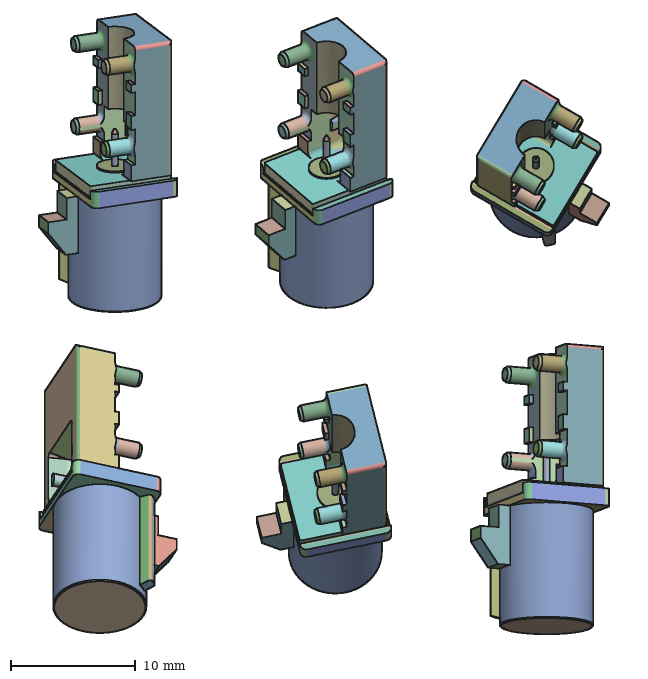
import cadquery as cq
import math


BARREL_RADIUS = 3.75
BARREL_HEIGHT = 9.4
BARREL_CHAMFER = 0.1

RIB_ANGLE = 225
RIB_TIP_RADIUS = 4.7
RIB_HALF_WIDTH = 0.46
RIB_FILLET = 0.22
RIB_TIP_BOTTOM = 1.1
RIB_ROOT_RADIUS = 3.0
RIB_BOTTOM_SLOPE = 16

LATCH_WIDTH = 1.9
LATCH_NECK_Y = -4.65
LATCH_TIP_Y = -6.25
LATCH_TOE_Y = -4.72
LATCH_STEP_Z = 7.56
LATCH_TIP_Z = 6.57
LATCH_BOTTOM = 4.56

FLANGE_WIDTH = 8.5
FLANGE_DEPTH = 2 * BARREL_RADIUS
FLANGE_HEIGHT = 1.4
FLANGE_TOP = BARREL_HEIGHT + FLANGE_HEIGHT
FLANGE_CORNER_RADIUS = 0.5
CHANNEL_WIDTH = 7.1
CHANNEL_FLOOR = 10.0
CHANNEL_RIM_FILLET = 0.25

PLATE_WIDTH = 7.0
PLATE_FRONT = -3.7
PLATE_TOP = 11.08
PLATE_CORNER_FILLET = 0.17
PLATE_BOTTOM_FILLET = 0.2
PLATE_LEDGE_DEPTH = 0.18

TOTAL_HEIGHT = 22.45
BLOCK_WIDTH = 7.5
BLOCK_FRONT = 0.1
BLOCK_BACK = 3.4
BLOCK_FILLET = 0.3
BORE_RADIUS = 1.56

PAD_FRONT = -0.24
PAD_WIDTH = 1.0
UPPER_PAD_RANGE = (18.6, 19.3)
LOWER_PAD_RANGE = (15.45, 16.65)
FOOT_TOP = TOTAL_HEIGHT - 10.0

WINDOW_WIDTH = 4.66
WINDOW_TOP = TOTAL_HEIGHT - 7.0
WINDOW_FILLET = 0.43
FLARE_START = 1.94
FLARE_ANGLE = 12

NUB_REACH = 0.29
NUB_BOTTOM = 12.7
NUB_TOP = 13.72
NUB_BACK = 3.15
NUB_FILLET = 0.28
NUB_ROOT = 0.5

PEG_RADIUS = 0.67
PEG_X = 2.98
PEG_SPACING_Z = 7.0
PEG_TOP_Z = TOTAL_HEIGHT - 1.62
PEG_TIP_Y = -2.3
PEG_TIP_INSET = 0.14
PEG_TIP_LENGTH = 0.25
PEG_BASE_FILLET = 0.33
PEG_EMBED = 0.5

DISC_RADIUS = 1.45
DISC_TOP = 11.2
CONTACT_RADIUS = 0.26
CONTACT_TOP = 14.3
CONTACT_TIP_LENGTH = 0.38
CONTACT_TIP_RADIUS = 0.07


def box(x_range, y_range, z_range):
    """Box spanning the given coordinate ranges."""
    size = [high - low for low, high in (x_range, y_range, z_range)]
    corner = (x_range[0], y_range[0], z_range[0])
    return cq.Workplane("XY").box(*size, centered=False).translate(corner)


def centred_box(width, y_range, z_range):
    """Box of the given width, symmetric about the YZ plane."""
    return box((-width / 2, width / 2), y_range, z_range)


def both_sides(shape):
    """The shape together with its mirror image across the YZ plane."""
    return shape.union(shape.mirror("YZ"))


def make_barrel():
    barrel = cq.Workplane("XY").circle(BARREL_RADIUS).extrude(BARREL_HEIGHT)
    return barrel.faces("<Z").edges().chamfer(BARREL_CHAMFER)


def make_rib():
    """Rib built along +X, its underside falling towards the barrel, then turned into place."""
    root_drop = (RIB_TIP_RADIUS - RIB_ROOT_RADIUS) * math.tan(math.radians(RIB_BOTTOM_SLOPE))
    rib = (
        cq.Workplane("XZ")
        .polyline([
            (RIB_ROOT_RADIUS, RIB_TIP_BOTTOM - root_drop),
            (RIB_TIP_RADIUS, RIB_TIP_BOTTOM),
            (RIB_TIP_RADIUS, BARREL_HEIGHT),
            (RIB_ROOT_RADIUS, BARREL_HEIGHT),
        ])
        .close()
        .extrude(RIB_HALF_WIDTH, both=True)
    )
    rib = rib.faces(">X").edges("|Z").fillet(RIB_FILLET)
    return rib.rotate((0, 0, 0), (0, 0, 1), RIB_ANGLE)


def make_latch():
    return (
        cq.Workplane("YZ")
        .polyline([
            (0, BARREL_HEIGHT),
            (LATCH_NECK_Y, BARREL_HEIGHT),
            (LATCH_NECK_Y, LATCH_STEP_Z),
            (LATCH_TIP_Y, LATCH_STEP_Z),
            (LATCH_TIP_Y, LATCH_TIP_Z),
            (LATCH_TOE_Y, LATCH_BOTTOM),
            (0, LATCH_BOTTOM),
        ])
        .close()
        .extrude(LATCH_WIDTH / 2, both=True)
    )


def make_flange():
    half_depth = FLANGE_DEPTH / 2
    depth_range = (-half_depth, half_depth)
    flange = centred_box(FLANGE_WIDTH, depth_range, (BARREL_HEIGHT, FLANGE_TOP))
    flange = flange.edges("|Z").fillet(FLANGE_CORNER_RADIUS)
    flange = flange.cut(centred_box(CHANNEL_WIDTH, depth_range, (CHANNEL_FLOOR, FLANGE_TOP)))
    for channel_edge in (-CHANNEL_WIDTH / 2, CHANNEL_WIDTH / 2):
        rim_edge = cq.selectors.NearestToPointSelector((channel_edge, 0, FLANGE_TOP))
        flange = flange.edges(rim_edge).fillet(CHANNEL_RIM_FILLET)
    return flange


def make_plate():
    plate = centred_box(PLATE_WIDTH, (PLATE_FRONT, BLOCK_BACK), (CHANNEL_FLOOR, PLATE_TOP))
    plate = plate.faces("<Y").edges("|Z").fillet(PLATE_CORNER_FILLET)
    plate = plate.faces("<Y").edges("<Z").fillet(PLATE_BOTTOM_FILLET)
    ledge = centred_box(
        PLATE_WIDTH,
        (BLOCK_BACK - PLATE_LEDGE_DEPTH, BLOCK_BACK + PLATE_LEDGE_DEPTH),
        (CHANNEL_FLOOR, FLANGE_TOP),
    )
    ledge = ledge.faces(">Y").edges(">Z").chamfer(PLATE_LEDGE_DEPTH)
    return plate.union(ledge)


def make_block():
    half_width = BLOCK_WIDTH / 2
    block = centred_box(BLOCK_WIDTH, (BLOCK_FRONT, BLOCK_BACK), (PLATE_TOP, TOTAL_HEIGHT))
    for side in ("<X", ">X"):
        block = block.faces(side).edges(">Z or >Y").fillet(BLOCK_FILLET)
    block = block.cut(cq.Workplane("XY").circle(BORE_RADIUS).extrude(TOTAL_HEIGHT))

    pad_depth = (PAD_FRONT, BLOCK_FRONT)
    pad_side = (half_width - PAD_WIDTH, half_width)
    for height_range in (UPPER_PAD_RANGE, LOWER_PAD_RANGE):
        block = block.union(both_sides(box(pad_side, pad_depth, height_range)))
    return block.union(centred_box(BLOCK_WIDTH, pad_depth, (PLATE_TOP, FOOT_TOP)))


def make_pegs():
    """Four pegs with flared bases, trimmed flush with the sides of the block."""
    flare_radius = PEG_RADIUS + PEG_BASE_FILLET
    flare_end = BLOCK_FRONT - PEG_BASE_FILLET
    flare_offset = PEG_BASE_FILLET * (1 - math.sqrt(0.5))
    peg = (
        cq.Workplane("XY")
        .moveTo(0, BLOCK_FRONT + PEG_EMBED)
        .lineTo(flare_radius, BLOCK_FRONT + PEG_EMBED)
        .lineTo(flare_radius, BLOCK_FRONT)
        .threePointArc(
            (PEG_RADIUS + flare_offset, BLOCK_FRONT - flare_offset),
            (PEG_RADIUS, flare_end),
        )
        .lineTo(PEG_RADIUS, PEG_TIP_Y + PEG_TIP_LENGTH)
        .lineTo(PEG_RADIUS - PEG_TIP_INSET, PEG_TIP_Y)
        .lineTo(0, PEG_TIP_Y)
        .close()
        .revolve(360, (0, 0, 0), (0, 1, 0))
    )
    upper = peg.translate((PEG_X, 0, PEG_TOP_Z))
    lower = peg.translate((PEG_X, 0, PEG_TOP_Z - PEG_SPACING_Z))
    envelope = centred_box(BLOCK_WIDTH, (PEG_TIP_Y, BLOCK_BACK), (0, TOTAL_HEIGHT))
    return both_sides(upper.union(lower)).intersect(envelope)


def make_window():
    """Straight opening from the front, then an opening that widens to the back of the block."""
    straight = centred_box(WINDOW_WIDTH, (PEG_TIP_Y, FLARE_START), (PLATE_TOP, WINDOW_TOP))
    straight = straight.edges("|Y and <Z").fillet(WINDOW_FILLET)
    flare_depth = BLOCK_BACK - FLARE_START + PLATE_LEDGE_DEPTH
    flare = straight.faces(">Y").wires().toPending().workplane()
    flare = flare.extrude(flare_depth, taper=-FLARE_ANGLE, combine=False)
    return straight.union(flare)


def make_nubs():
    inner = WINDOW_WIDTH / 2 - NUB_REACH
    nub = box((inner, WINDOW_WIDTH / 2 + NUB_ROOT), (FLARE_START, NUB_BACK), (NUB_BOTTOM, NUB_TOP))
    return both_sides(nub.faces("<X").edges("|Y").fillet(NUB_FILLET))


def make_contact():
    disc = cq.Workplane("XY").workplane(offset=CHANNEL_FLOOR).circle(DISC_RADIUS)
    disc = disc.extrude(DISC_TOP - CHANNEL_FLOOR)
    pin = (
        cq.Workplane("XZ")
        .polyline([
            (0, CHANNEL_FLOOR),
            (CONTACT_RADIUS, CHANNEL_FLOOR),
            (CONTACT_RADIUS, CONTACT_TOP - CONTACT_TIP_LENGTH),
            (CONTACT_TIP_RADIUS, CONTACT_TOP),
            (0, CONTACT_TOP),
        ])
        .close()
        .revolve(360, (0, 0, 0), (0, 1, 0))
    )
    return disc.union(pin)


upright = make_plate().union(make_block()).union(make_pegs())
upright = upright.cut(make_window()).union(make_nubs()).union(make_contact())

socket = make_barrel().union(make_rib()).union(make_latch()).union(make_flange())

result = socket.union(upright)